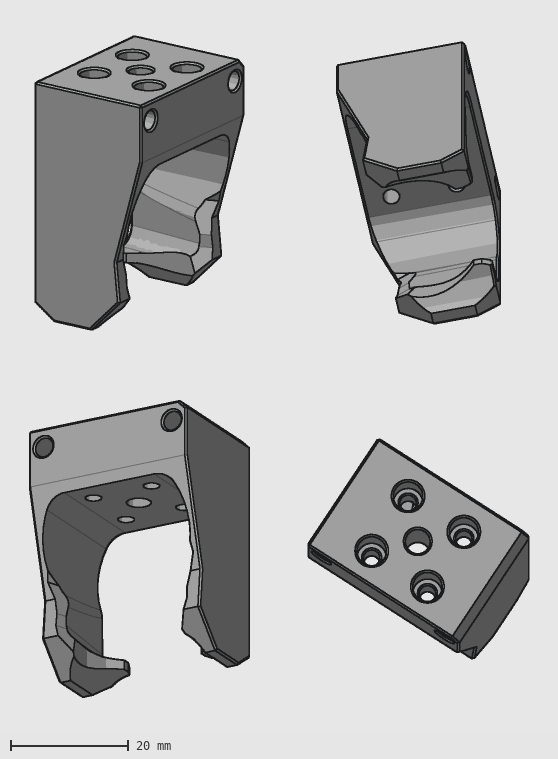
import cadquery as cq
import math

LENGTH = 22.18
WIDTH = 30.8
HEIGHT = 42.4
EDGE_CHAMFER = 0.35
TOP_CORNER_CHAMFER = 1.5

FRONT_TOE = (4.0, 2.7)
FOOT_END = 11.65
HEEL = (17.6, 6.0)
WAIST = (16.88, 13.15)
SHOULDER_Z = 32.22

BORE_RADIUS = 14.2
BORE_Z = 21.1
ROOF_Z = 30.1
ROOF_FILLET = 4.25
RIDGE_FILLET = 5.0

LIP_TOP_Z = 5.65
LIP_FILLET = 3.0
WALL_HALF_WIDTH = 13.25
WALL_TAPER = 5.0
WALL_DRAFT = 0.7

TIP_HALF_GAP = 7.5
MOUTH_HALF_GAP = 8.2
TIP_BEVEL_LENGTH = 1.7
SCALLOP_RADIUS = 11.25
SCALLOP_X = 11.45
ARCH_RADIUS = 5.98
ARCH_TOP_Z = 3.95

FLARE_X = 15.25
FLARE_FOOT_Z = 8.05
FLARE_Z = 10.3
FLARE_WIDEST_Z = 16.1
FLARE_HALF_WIDTH = 11.95
FLARE_SLOPE = 0.38
FLARE_FOOT_LEAN = 0.3
FLARE_LEAN = 0.22

PATTERN_X = 11.3
PATTERN_PITCH = 11.3
SCREW_DIAMETER = 2.8
SCREW_MOUTH = 3.4
COUNTERBORE_DIAMETER = 5.0
COUNTERBORE_DEPTH = 6.35
CENTRE_DIAMETER = 4.2
CROSS_DIAMETER = 3.4
CROSS_Y = 12.5
CROSS_Z = 39.0

MARGIN = 2.1
TOLERANCE = 0.05


def edge_band(bottom, top, start=-MARGIN, end=LENGTH + MARGIN):
    """Select edges whose centres lie between two heights, from start to end along X."""
    low_corner = (start, -WIDTH, bottom - TOLERANCE)
    high_corner = (end, WIDTH, top + TOLERANCE)
    return cq.selectors.BoxSelector(low_corner, high_corner)


def make_block():
    profile = [
        (0, HEIGHT), (0, FRONT_TOE[1]), (FRONT_TOE[0], 0), (FOOT_END, 0),
        HEEL, WAIST, (LENGTH, SHOULDER_Z), (LENGTH, HEIGHT),
    ]
    block = cq.Workplane("XZ").polyline(profile).close().extrude(WIDTH / 2, both=True)
    block = block.edges(">Z and >Y").chamfer(TOP_CORNER_CHAMFER)
    upper_end_edges = block.faces("<X or >X").edges(edge_band(HEIGHT - TOP_CORNER_CHAMFER, HEIGHT))
    side_edges = block.faces("<Y").edges().add(block.faces(">Y").edges("not >Z"))
    outer_edges = side_edges.add(upper_end_edges).vals()
    return block.newObject(outer_edges).chamfer(EDGE_CHAMFER)


def wall_section(x):
    """Outline of the tapered leg cavity at x, from the lips up to the bore centre."""
    low = WALL_HALF_WIDTH - x * math.tan(math.radians(WALL_TAPER))
    high = low + (BORE_Z - LIP_TOP_Z) * math.tan(math.radians(WALL_DRAFT))
    return [(-low, LIP_TOP_Z), (low, LIP_TOP_Z), (high, BORE_Z), (-high, BORE_Z)]


def make_cavity():
    length = LENGTH + MARGIN
    bore = cq.Workplane("YZ").center(0, BORE_Z).circle(BORE_RADIUS).extrude(length)
    above_roof = cq.Workplane("XY").box(
        length, WIDTH, HEIGHT, centered=(False, True, False)).translate((0, 0, ROOF_Z))
    bore = bore.cut(above_roof)
    bore = bore.edges("|X").edges(edge_band(ROOF_Z, ROOF_Z)).fillet(ROOF_FILLET)

    legs = (
        cq.Workplane("YZ").polyline(wall_section(0)).close()
        .workplane(offset=length).polyline(wall_section(length)).close()
        .loft(ruled=True)
    )
    legs = legs.edges(edge_band(LIP_TOP_Z, LIP_TOP_Z, MARGIN, LENGTH)).fillet(LIP_FILLET)

    cavity = bore.union(legs)
    ridges = edge_band(LIP_TOP_Z + LIP_FILLET, BORE_Z - MARGIN, MARGIN, LENGTH)
    return cavity.edges(ridges).fillet(RIDGE_FILLET)


def flare_section(half_width):
    """Outline across X, half_width being the reach of its upright middle part."""
    low = (half_width - FLARE_FOOT_LEAN * FLARE_FOOT_Z, 0)
    widest = (half_width + FLARE_LEAN * (FLARE_WIDEST_Z - FLARE_Z), FLARE_WIDEST_Z)
    right = [low, (half_width, FLARE_FOOT_Z), (half_width, FLARE_Z), widest, (half_width, BORE_Z)]
    left = [(-y, z) for y, z in reversed(right)]
    return right + left


def make_flare():
    start = SCALLOP_X
    end = LENGTH + MARGIN
    half_widths = [FLARE_HALF_WIDTH + FLARE_SLOPE * (x - FLARE_X) for x in (start, end)]
    return (
        cq.Workplane("YZ", origin=(start, 0, 0)).polyline(flare_section(half_widths[0])).close()
        .workplane(offset=end - start).polyline(flare_section(half_widths[1])).close()
        .loft(ruled=True)
    )


def make_lip_opening():
    height = BORE_Z
    tip_x = SCALLOP_X - math.sqrt(SCALLOP_RADIUS**2 - TIP_HALF_GAP**2)
    tip = [(0, MOUTH_HALF_GAP), (TIP_BEVEL_LENGTH, TIP_HALF_GAP), (tip_x, TIP_HALF_GAP)]
    mirrored_tip = [(x, -y) for x, y in reversed(tip)]
    gap = cq.Workplane("XY").polyline(tip + mirrored_tip).close().extrude(height)
    scallop = cq.Workplane("XY").center(SCALLOP_X, 0).circle(SCALLOP_RADIUS).extrude(height)
    arches = (
        cq.Workplane("YZ")
        .pushPoints([(side * TIP_HALF_GAP, ARCH_TOP_Z - ARCH_RADIUS) for side in (-1, 1)])
        .circle(ARCH_RADIUS).extrude(LENGTH)
    )
    return gap.union(scallop).union(arches)


def drill_top(part):
    half_pitch = PATTERN_PITCH / 2
    corners = [(PATTERN_X + i * half_pitch, j * half_pitch) for i in (-1, 1) for j in (-1, 1)]
    depth = HEIGHT - BORE_Z
    floor_z = HEIGHT - COUNTERBORE_DEPTH
    rim = (SCREW_MOUTH - SCREW_DIAMETER) / 2
    top = cq.Workplane("XY", origin=(0, 0, HEIGHT))
    floor = cq.Workplane("XY", origin=(0, 0, floor_z))

    part = part.cut(top.pushPoints(corners).circle(SCREW_DIAMETER / 2).extrude(-depth))
    part = part.cut(top.pushPoints(corners).circle(COUNTERBORE_DIAMETER / 2).extrude(-COUNTERBORE_DEPTH))
    part = part.cut(floor.pushPoints(corners).circle(SCREW_MOUTH / 2).extrude(-rim, taper=45))
    part = part.cut(top.center(PATTERN_X, 0).circle(CENTRE_DIAMETER / 2).extrude(-depth))
    return part.faces(">Z").edges("%CIRCLE").chamfer(EDGE_CHAMFER)


def drill_cross(part):
    centres = [(side * CROSS_Y, CROSS_Z) for side in (-1, 1)]
    part = part.cut(cq.Workplane("YZ").pushPoints(centres).circle(CROSS_DIAMETER / 2).extrude(LENGTH))
    return part.faces("<X or >X").edges("%CIRCLE").edges(">Z or <Z").chamfer(EDGE_CHAMFER)


def chamfer_mouth(part):
    """Bevel the rim of the cavity on the -X face."""
    rim = part.faces("<X").val().innerWires()[0]
    return part.newObject(rim.Edges()).chamfer(EDGE_CHAMFER)


result = make_block().cut(make_cavity())
result = chamfer_mouth(result)
result = result.cut(make_flare()).cut(make_lip_opening())
result = drill_top(result)
result = drill_cross(result)